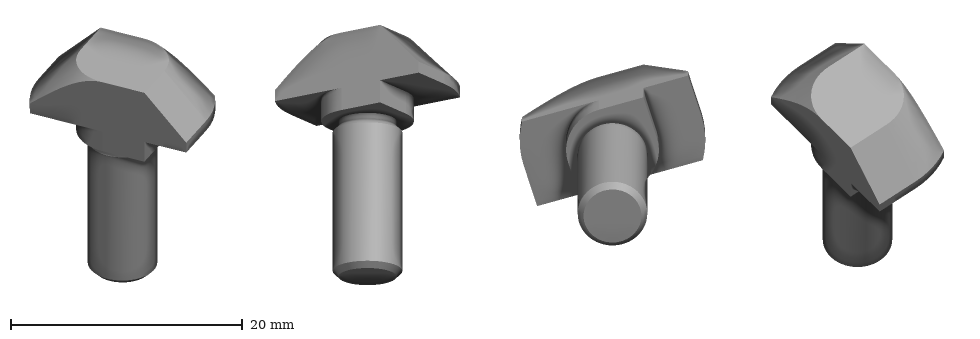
import cadquery as cq

total_height = 21.0
head_length = 16.0
head_width = 8.0
head_height = 5.0
collar_height = 2.0
shank_diameter = 6.0
neck_diameter = 5.0
neck_height = 0.5

half_length = head_length / 2
half_width = head_width / 2
head_bottom = total_height - head_height
collar_bottom = head_bottom - collar_height
neck_bottom = collar_bottom - neck_height
rim_top = total_height - (half_length - half_width)
shank_radius = shank_diameter / 2
neck_radius = neck_diameter / 2
chamfer = shank_radius - neck_radius


def half_profile():
    """Half section of the head and collar, from the axis out to +X."""
    return (
        cq.Workplane("XZ")
        .moveTo(0, collar_bottom)
        .lineTo(half_width, collar_bottom)
        .lineTo(half_width, head_bottom)
        .lineTo(half_length, head_bottom)
        .lineTo(half_length, rim_top)
        .lineTo(half_width, total_height)
        .lineTo(0, total_height)
        .close()
    )


def half_head():
    """Square quadrant (+X, -Y) joined to the rounded quadrant (+X, +Y)."""
    square_quadrant = half_profile().extrude(half_width)
    quadrant_box = cq.Workplane("XY").box(
        half_length, half_width, total_height, centered=False
    )
    rounded_quadrant = half_profile().revolve(360, (0, 0), (0, 1)).intersect(quadrant_box)
    return square_quadrant.union(rounded_quadrant)


def shank():
    """Round shank with a chamfered tip and a narrower neck under the collar."""
    return (
        cq.Workplane("XZ")
        .moveTo(0, 0)
        .lineTo(neck_radius, 0)
        .lineTo(shank_radius, chamfer)
        .lineTo(shank_radius, neck_bottom - chamfer)
        .lineTo(neck_radius, neck_bottom)
        .lineTo(neck_radius, collar_bottom)
        .lineTo(0, collar_bottom)
        .close()
        .revolve(360, (0, 0), (0, 1))
    )


head = half_head()
head = head.union(head.rotate((0, 0, 0), (0, 0, 1), 180))
result = head.union(shank())